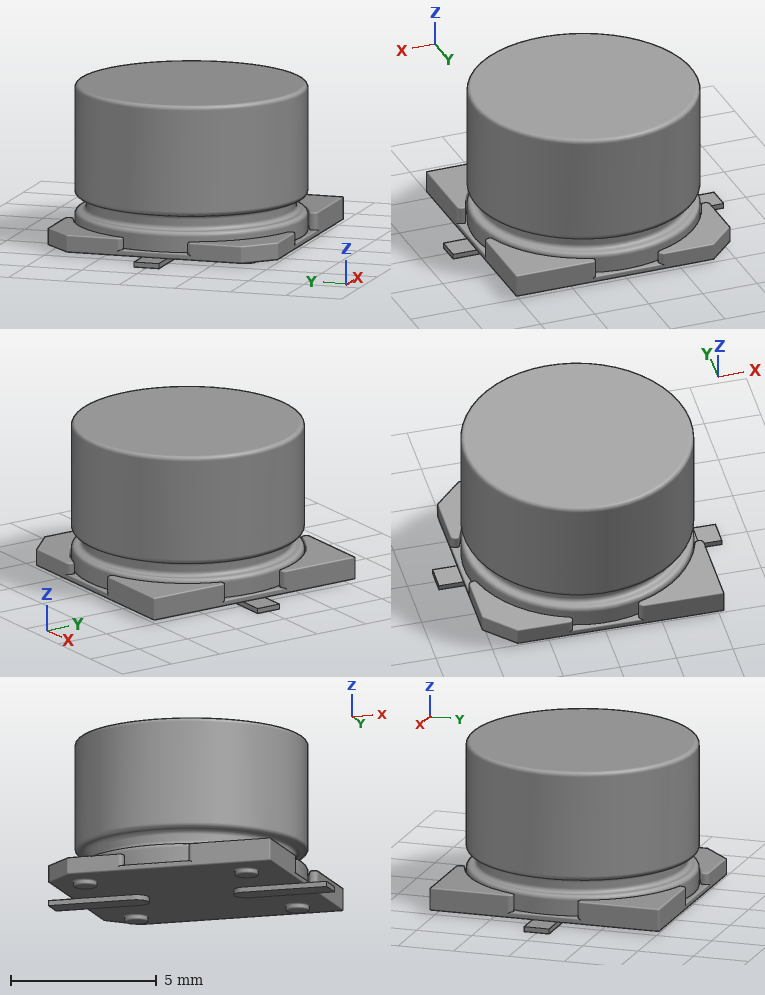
import cadquery as cq
import math

total_height = 5.49
lead_thickness = 0.18
ledge_top = 0.38
chamfered_post_top = 0.78
square_post_top = 0.98

base_side = 8.3
base_half = base_side / 2
corner_chamfer = 1.0
edge_round = 0.05
bore_radius = 4.05
post_gap = 2.34
post_outer_round = 0.16
post_inner_round = 0.11

can_radius = 4.0
waist_radius = 3.6
top_round = 0.15
waist_bottom = 1.24
waist_top = 1.46
bead_round = 0.16

overall_length = 10.0
lead_width = 0.9
lead_tip = 1.54
foot_diameter = 0.8
foot_offset = 2.9
foot_round = 0.05


def outline_prism(bottom, top):
    """Base outline, two corners chamfered and all upright edges rounded."""
    return (
        cq.Workplane("XY", origin=(0, 0, bottom))
        .rect(base_side, base_side)
        .extrude(top - bottom)
        .edges("|Z and <X")
        .chamfer(corner_chamfer)
        .edges("|Z")
        .fillet(edge_round)
    )


def make_post(x_side, y_side, top):
    """Corner post that wraps the can, with rounded ends and a rounded rim."""
    bottom = lead_thickness + edge_round
    near = post_gap / 2
    corner = (
        cq.Workplane("XY", origin=(0, 0, bottom))
        .moveTo(x_side * near, y_side * near)
        .lineTo(x_side * base_side, y_side * near)
        .lineTo(x_side * base_side, y_side * base_side)
        .lineTo(x_side * near, y_side * base_side)
        .close()
        .extrude(top - bottom)
    )
    bore = cq.Workplane("XY").circle(bore_radius).extrude(total_height)
    post = outline_prism(bottom, top).intersect(corner).cut(bore)

    bore_end = math.sqrt(bore_radius**2 - near**2)
    middle = (bottom + top) / 2
    for reach, radius in ((base_half, post_outer_round), (bore_end, post_inner_round)):
        for x, y in ((near, reach), (reach, near)):
            end_edge = cq.NearestToPointSelector((x_side * x, y_side * y, middle))
            post = post.edges("|Z").edges(end_edge).fillet(radius)
    return post.faces(">Z").edges().fillet(edge_round)


def make_base():
    """Floor plate with four corner posts."""
    base = outline_prism(lead_thickness, ledge_top).faces("<Z or >Z").edges().fillet(edge_round)
    for y_side in (-1, 1):
        base = base.union(make_post(-1, y_side, chamfered_post_top))
        base = base.union(make_post(1, y_side, square_post_top))
    return base


def make_can():
    """Turned profile of the can: bead, waist, body and rounded top."""
    diagonal = bead_round * math.sqrt(0.5)
    bead_bottom = waist_bottom - 2 * bead_round
    bead_top = waist_bottom - bead_round
    body_underside = waist_top + bead_round
    body_bottom = waist_top + 2 * bead_round
    shoulder = can_radius - bead_round
    waist_shoulder = waist_radius + bead_round
    top_shoulder = can_radius - top_round
    top_bend = top_round * math.sqrt(0.5)
    top_start = total_height - top_round
    return (
        cq.Workplane("XZ")
        .moveTo(0, ledge_top)
        .lineTo(can_radius, ledge_top)
        .lineTo(can_radius, bead_bottom)
        .threePointArc((shoulder + diagonal, bead_bottom + diagonal), (shoulder, bead_top))
        .lineTo(waist_shoulder, bead_top)
        .threePointArc(
            (waist_shoulder - diagonal, waist_bottom - diagonal), (waist_radius, waist_bottom)
        )
        .lineTo(waist_radius, waist_top)
        .threePointArc(
            (waist_shoulder - diagonal, waist_top + diagonal), (waist_shoulder, body_underside)
        )
        .lineTo(shoulder, body_underside)
        .threePointArc((shoulder + diagonal, body_bottom - diagonal), (can_radius, body_bottom))
        .lineTo(can_radius, top_start)
        .threePointArc(
            (top_shoulder + top_bend, top_start + top_bend), (top_shoulder, total_height)
        )
        .lineTo(0, total_height)
        .close()
        .revolve(360, (0, 0, 0), (0, 1, 0))
    )


def make_lead(x_side):
    """Flat lead under the base with a fully rounded inner tip."""
    half_width = lead_width / 2
    tip_centre = x_side * (lead_tip + half_width)
    outer_end = x_side * overall_length / 2
    return (
        cq.Workplane("XY")
        .moveTo(outer_end, -half_width)
        .lineTo(tip_centre, -half_width)
        .threePointArc((x_side * lead_tip, 0), (tip_centre, half_width))
        .lineTo(outer_end, half_width)
        .close()
        .extrude(lead_thickness)
    )


def make_foot(x, y):
    """Round stand-off foot, flared where it meets the base and rounded below."""
    radius = foot_diameter / 2
    bend = foot_round * math.sqrt(0.5)
    flare = radius + foot_round
    lower_flat = radius - foot_round
    flare_start = lead_thickness - foot_round
    return (
        cq.Workplane("XZ", origin=(x, y, 0))
        .lineTo(lower_flat, 0)
        .threePointArc((lower_flat + bend, foot_round - bend), (radius, foot_round))
        .lineTo(radius, flare_start)
        .threePointArc((flare - bend, flare_start + bend), (flare, lead_thickness))
        .lineTo(0, lead_thickness)
        .close()
        .revolve(360, (0, 0, 0), (0, 1, 0))
    )


result = make_base().union(make_can())
for x_sign in (-1, 1):
    result = result.union(make_lead(x_sign))
    for y_sign in (-1, 1):
        result = result.union(make_foot(x_sign * foot_offset, y_sign * foot_offset))